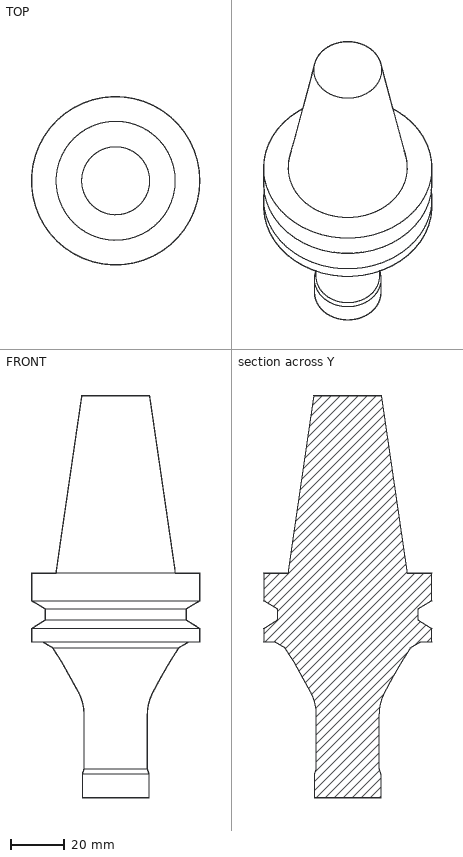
import cadquery as cq

total_height = 150.4
nose_top = 9.0
neck_bottom = 10.8
neck_top = 31.1
flare_bottom = 39.3
flare_top = 56.1
flange_bottom = 58.2
groove_lower_edge = 63.3
groove_floor_bottom = 66.5
groove_floor_top = 70.7
groove_upper_edge = 73.7
flange_top = 84.0
taper_bottom = 85.0

nose_radius = 25.0 / 2
neck_radius = 23.8 / 2
flare_bottom_radius = 13.8
flare_top_radius = 23.6
collar_radius = 27.2
flange_radius = 63.0 / 2
groove_radius = 53.0 / 2
taper_large_radius = 44.5 / 2

taper_ratio = 7 / 24
taper_small_radius = taper_large_radius - taper_ratio * (total_height - taper_bottom) / 2

profile = (
    cq.Workplane("XZ")
    .lineTo(nose_radius, 0)
    .lineTo(nose_radius, nose_top)
    .lineTo(neck_radius, neck_bottom)
    .lineTo(neck_radius, neck_top)
    .tangentArcPoint((flare_bottom_radius, flare_bottom), relative=False)
    .tangentArcPoint((flare_top_radius, flare_top), relative=False)
    .lineTo(collar_radius, flange_bottom)
    .lineTo(flange_radius, flange_bottom)
    .lineTo(flange_radius, groove_lower_edge)
    .lineTo(groove_radius, groove_floor_bottom)
    .lineTo(groove_radius, groove_floor_top)
    .lineTo(flange_radius, groove_upper_edge)
    .lineTo(flange_radius, flange_top)
    .lineTo(taper_large_radius, flange_top)
    .lineTo(taper_large_radius, taper_bottom)
    .lineTo(taper_small_radius, total_height)
    .lineTo(0, total_height)
    .close()
)

result = profile.revolve(360, (0, 0), (0, 1))